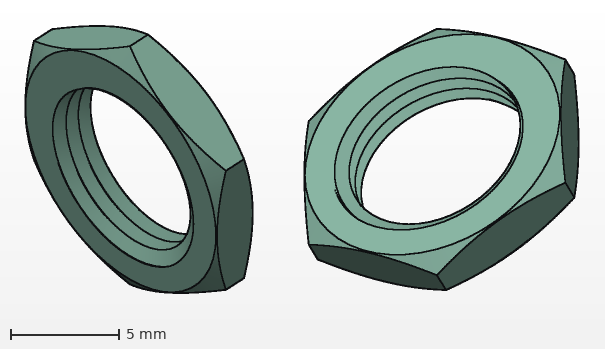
import cadquery as cq
import math

corner_diameter = 14.66
thickness = 2.36
face_radius = 6.3
chamfer_angle = 30.0
corner_turn = 30.0
thread_root_radius = 5.0
bore_radius = 4.31
thread_pitch = 0.79
root_angle = -49.5
extra_turns = 1

corner_radius = corner_diameter / 2


def hexagon_with_chamfers():
    """Hexagon along Z, with the corners turned down by a cone at both ends."""
    hexagon = (
        cq.Workplane("XY")
        .polygon(6, corner_diameter)
        .extrude(thickness)
        .rotate((0, 0, 0), (0, 0, 1), corner_turn)
    )
    chamfer_depth = (corner_radius - face_radius) * math.tan(math.radians(chamfer_angle))
    turned_envelope = (
        cq.Workplane("XZ")
        .moveTo(0, 0)
        .lineTo(face_radius, 0)
        .lineTo(corner_radius, chamfer_depth)
        .lineTo(corner_radius, thickness - chamfer_depth)
        .lineTo(face_radius, thickness)
        .lineTo(0, thickness)
        .close()
        .revolve(360, (0, 0, 0), (0, 1, 0))
    )
    return hexagon.intersect(turned_envelope)


def helix_edge(radius, start_height, length):
    """Right-handed helix of the thread pitch, starting at root_angle."""
    helix = cq.Wire.makeHelix(thread_pitch, length, radius)
    return helix.rotate(cq.Vector(0, 0, 0), cq.Vector(0, 0, 1), root_angle).translate(
        cq.Vector(0, 0, start_height)
    )


def thread_surface():
    """Sharp V thread skin, running past both end faces."""
    turns = math.ceil(thickness / thread_pitch) + 2 * extra_turns
    length = turns * thread_pitch
    root_start = thickness - (turns - extra_turns) * thread_pitch
    root = helix_edge(thread_root_radius, root_start, length)
    crest_below = helix_edge(bore_radius, root_start - thread_pitch / 2, length)
    crest_above = helix_edge(bore_radius, root_start + thread_pitch / 2, length)
    lower_flank = cq.Face.makeRuledSurface(crest_below, root)
    upper_flank = cq.Face.makeRuledSurface(root, crest_above)
    return cq.Shell.makeShell(lower_flank.Faces() + upper_flank.Faces())


pieces = hexagon_with_chamfers().val().split(thread_surface()).Solids()
nut = cq.Workplane(obj=max(pieces, key=lambda piece: piece.BoundingBox().xlen))

result = nut.translate((0, 0, -thickness / 2)).rotate((0, 0, 0), (1, 0, 0), 90)